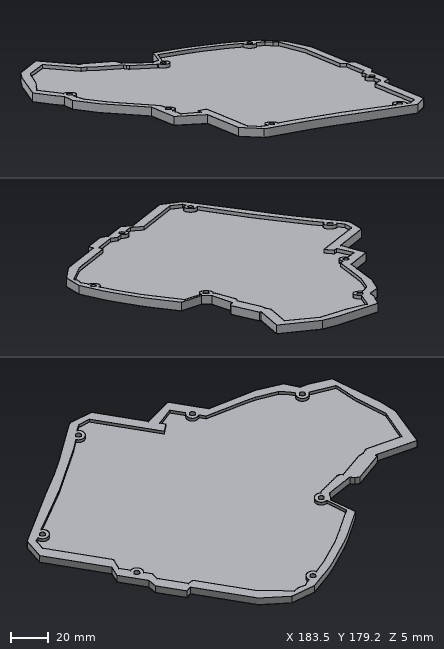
import cadquery as cq

LENGTH = 183.5
WIDTH = 179.2
HEIGHT = 5.0
POCKET_DEPTH = 2.0
FLOOR = HEIGHT - POCKET_DEPTH

HOLE_DIAMETER = 3.1
BOSS_DIAMETER = 7.3

BACK_OUTER = 175.9
BACK_INNER = 170.4
TAB_INNER = 173.3
SHOULDER_OUTER = 170.4
SHOULDER_INNER = 164.3
STEP_OUTER = 54.9
STEP_INNER = 60.5
FRONT_OUTER = 37.8
FRONT_INNER = 43.9

LEFT_OUTER = 19.0
LEFT_INNER = 24.0

OUTER_OUTLINE = [
    (53.8, BACK_OUTER),
    (36.7, 170.4),
    (27.0, 159.5),
    (22.8, 144.7),
    (21.7, 139.1),
    (19.5, 122.0),
    (LEFT_OUTER, 116.5),
    (LEFT_OUTER, 98.0),
    (34.0, 92.3),
    (35.8, 87.2),
    (28.3, 72.7),
    (25.5, 72.5),
    (23.0, 71.2),
    (17.8, 53.2),
    (18.9, 52.7),
    (0.0, 36.5),
    (16.5, 16.7),
    (26.0, 11.5),
    (55.0, 0.0),
    (65.9, 6.6),
    (70.3, 10.3),
    (79.3, 9.7),
    (92.5, 18.0),
    (113.5, FRONT_OUTER),
    (135.8, FRONT_OUTER),
    (142.3, STEP_OUTER),
    (173.3, STEP_OUTER),
    (182.5, 65.2),
    (182.8, 67.2),
    (181.5, 95.5),
    (181.5, 106.5),
    (182.5, 122.6),
    (LENGTH, 159.5),
    (183.4, 161.0),
    (174.4, SHOULDER_OUTER),
    (135.0, SHOULDER_OUTER),
    (130.9, BACK_OUTER),
    (113.5, BACK_OUTER),
    (109.2, WIDTH),
    (92.0, WIDTH),
    (90.9, BACK_OUTER),
]

POCKET_OUTLINE = [
    (56.0, BACK_INNER),
    (36.3, 166.0),
    (35.0, 163.2),
    (31.8, 160.3),
    (31.2, 156.2),
    (28.5, 148.3),
    (26.5, 139.7),
    (24.2, 123.4),
    (LEFT_INNER, 115.5),
    (LEFT_INNER, 98.2),
    (39.3, 91.8),
    (40.5, 87.4),
    (35.0, 73.2),
    (34.1, 72.1),
    (32.1, 71.5),
    (27.4, 55.5),
    (25.5, 52.7),
    (25.0, 49.4),
    (8.6, 35.5),
    (21.1, 19.8),
    (39.5, 12.0),
    (51.8, 4.8),
    (67.7, 15.2),
    (75.3, 15.5),
    (80.4, 16.3),
    (91.2, 23.5),
    (96.0, 27.5),
    (113.5, FRONT_INNER),
    (133.3, FRONT_INNER),
    (136.2, STEP_OUTER),
    (132.9, STEP_OUTER),
    (132.4, STEP_INNER),
    (173.3, STEP_INNER),
    (177.7, 66.0),
    (177.7, 70.5),
    (176.6, 77.8),
    (176.0, 85.0),
    (176.0, 118.2),
    (177.7, 141.7),
    (178.5, 150.0),
    (178.5, 157.5),
    (179.0, 159.2),
    (174.4, SHOULDER_INNER),
    (135.5, SHOULDER_INNER),
    (131.3, BACK_INNER),
    (112.9, BACK_INNER),
    (109.8, TAB_INNER),
    (92.5, TAB_INNER),
    (90.9, BACK_INNER),
]

SCREW_POSITIONS = [
    (29.5, 152.2),
    (39.3, 91.8),
    (67.7, 15.2),
    (121.0, 43.7),
    (176.0, 74.0),
    (176.8, 153.6),
    (121.2, 171.3),
]


def prism(outline, bottom, height):
    """Straight-sided block over a closed outline."""
    return cq.Workplane("XY").workplane(offset=bottom).polyline(outline).close().extrude(height)


def cylinders(diameter, bottom, height):
    """One upright cylinder at every screw position."""
    plane = cq.Workplane("XY").workplane(offset=bottom)
    return plane.pushPoints(SCREW_POSITIONS).circle(diameter / 2).extrude(height)


plate = prism(OUTER_OUTLINE, 0, HEIGHT)
pocket = prism(POCKET_OUTLINE, FLOOR, POCKET_DEPTH)

bosses = cylinders(BOSS_DIAMETER, FLOOR, POCKET_DEPTH)
screw_holes = cylinders(HOLE_DIAMETER, 0, HEIGHT)

result = plate.cut(pocket.cut(bosses)).cut(screw_holes)